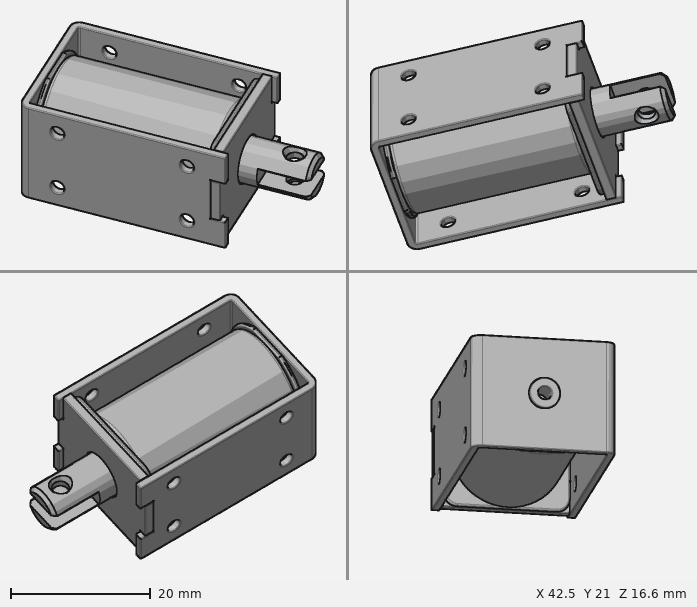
import cadquery as cq
EDGE_ROUNDING = 0.15
HEIGHT = 16.6
OVERALL_LENGTH = 42.5

FRAME_START = 0.5
FRAME_LENGTH = 31.95
FRAME_WIDTH = 21.0
FRAME_WALL = 1.2
BEND_RADIUS = 1.5
BEND_INNER_RADIUS = BEND_RADIUS - FRAME_WALL
FRAME_END = FRAME_START + FRAME_LENGTH
FRAME_INNER_START = FRAME_START + FRAME_WALL
FRAME_INNER_WIDTH = FRAME_WIDTH - 2 * FRAME_WALL
MOUNT_HOLE_DIAMETER = 2.12
MOUNT_HOLE_FIRST_X = 6.5
MOUNT_HOLE_SPACING_X = 20.0
MOUNT_HOLE_SPACING_Z = 10.0

PLATE_START = 30.18
PLATE_THICKNESS = 1.5
PLATE_END = PLATE_START + PLATE_THICKNESS
PLATE_HOLE_DIAMETER = 7.4
TAB_HEIGHT = 7.0

ROUND_FLANGE_THICKNESS = 0.72
SQUARE_FLANGE_THICKNESS = 0.8
FLANGE_ROUNDING = 0.3
BORE_DIAMETER = 7.3
TUBE_DIAMETER = 9.6
ROUND_FLANGE_DIAMETER = 17.6
ROUND_FLANGE_HEIGHT = 16.45
SQUARE_FLANGE_WIDTH = 18.4
SQUARE_FLANGE_HEIGHT = HEIGHT
SQUARE_FLANGE_CORNER = 1.95
COIL_START = FRAME_INNER_START + ROUND_FLANGE_THICKNESS
COIL_END = PLATE_START - SQUARE_FLANGE_THICKNESS

COIL_DIAMETER = 16.6
COIL_ROUNDING = 0.5

RIVET_DIAMETER = 4.5
CORE_HOLE_DIAMETER = 2.0
CORE_HOLE_DEPTH = 4.25
CORE_EDGE_ROUNDING = 0.1
CORE_END = 14.88

PLUNGER_DIAMETER = 7.0
FORK_START = 34.5
FORK_WIDTH = 6.35
FORK_GAP = 2.8
TIP_CHAMFER = 0.6
CROSS_HOLE_X = 38.97
CROSS_HOLE_DIAMETER = 2.5
COUNTERSINK_DIAMETER = 3.5
COUNTERSINK_DEPTH = 1.0


def box_between(x_start, x_end, width, height):
    """Box from x_start to x_end, centred on the axis in Y and Z."""
    return (
        cq.Workplane("YZ", origin=(x_start, 0, 0))
        .rect(width, height)
        .extrude(x_end - x_start)
    )


def rod_between(x_start, x_end, diameter):
    """Round bar on the axis from x_start to x_end."""
    return (
        cq.Workplane("YZ", origin=(x_start, 0, 0))
        .circle(diameter / 2)
        .extrude(x_end - x_start)
    )


def make_frame():
    outer = box_between(FRAME_START, FRAME_END, FRAME_WIDTH, HEIGHT)
    outer = outer.edges("|Z and <X").fillet(BEND_RADIUS)
    inner = box_between(FRAME_INNER_START, FRAME_END, FRAME_INNER_WIDTH, HEIGHT)
    inner = inner.edges("|Z and <X").fillet(BEND_INNER_RADIUS)
    frame = outer.cut(inner)
    tab_slot = box_between(PLATE_START, FRAME_END, FRAME_WIDTH, TAB_HEIGHT)
    frame = frame.cut(tab_slot)
    mount_holes = (
        cq.Workplane("XZ", origin=(MOUNT_HOLE_FIRST_X + MOUNT_HOLE_SPACING_X / 2, 0, 0))
        .rarray(MOUNT_HOLE_SPACING_X, MOUNT_HOLE_SPACING_Z, 2, 2)
        .circle(MOUNT_HOLE_DIAMETER / 2)
        .extrude(FRAME_WIDTH / 2, both=True)
    )
    frame = frame.cut(mount_holes)
    frame = frame.faces("|Y or <Z or >Z").edges("not(|Z and (<X or <<X[1]))").fillet(EDGE_ROUNDING)
    return frame.cut(rod_between(FRAME_START, FRAME_INNER_START, RIVET_DIAMETER))


def make_end_plate():
    plate = box_between(PLATE_START, PLATE_END, FRAME_INNER_WIDTH, HEIGHT)
    tabs = box_between(PLATE_START, PLATE_END, FRAME_WIDTH, TAB_HEIGHT)
    plate = plate.union(tabs)
    plate = plate.faces("<X or >X or <Y or >Y").edges().fillet(EDGE_ROUNDING)
    return plate.cut(rod_between(PLATE_START, PLATE_END, PLATE_HOLE_DIAMETER))


def make_bobbin():
    round_flange = rod_between(FRAME_INNER_START, COIL_START, ROUND_FLANGE_DIAMETER)
    flats = box_between(FRAME_INNER_START, COIL_START, ROUND_FLANGE_DIAMETER, ROUND_FLANGE_HEIGHT)
    round_flange = round_flange.intersect(flats)
    round_flange = round_flange.faces("<X or >X").edges().fillet(FLANGE_ROUNDING)
    square_flange = box_between(COIL_END, PLATE_START, SQUARE_FLANGE_WIDTH, SQUARE_FLANGE_HEIGHT)
    square_flange = square_flange.edges("|X").fillet(SQUARE_FLANGE_CORNER)
    square_flange = square_flange.faces("<X or >X").edges().fillet(FLANGE_ROUNDING)
    tube = rod_between(COIL_START, COIL_END, TUBE_DIAMETER)
    bobbin = tube.union(round_flange).union(square_flange)
    return bobbin.cut(rod_between(FRAME_INNER_START, PLATE_START, BORE_DIAMETER))


def make_coil():
    coil = rod_between(COIL_START, COIL_END, COIL_DIAMETER)
    coil = coil.faces("<X or >X").edges().fillet(COIL_ROUNDING)
    return coil.cut(rod_between(COIL_START, COIL_END, TUBE_DIAMETER))


def make_core():
    rivet = rod_between(0, FRAME_INNER_START, RIVET_DIAMETER)
    core = rivet.union(rod_between(FRAME_INNER_START, CORE_END, BORE_DIAMETER))
    core = core.cut(rod_between(0, CORE_HOLE_DEPTH, CORE_HOLE_DIAMETER))
    return core.faces("<X").edges().fillet(CORE_EDGE_ROUNDING)


def make_plunger():
    rod = rod_between(CORE_END, FORK_START, PLUNGER_DIAMETER)
    fork = rod_between(FORK_START, OVERALL_LENGTH, PLUNGER_DIAMETER)
    fork = fork.faces(">X").edges().chamfer(TIP_CHAMFER)
    flats = box_between(FORK_START, OVERALL_LENGTH, FORK_WIDTH, PLUNGER_DIAMETER)
    flats = flats.edges("|Z and >X").chamfer(TIP_CHAMFER)
    gap = box_between(FORK_START, OVERALL_LENGTH, PLUNGER_DIAMETER, FORK_GAP)
    fork = fork.intersect(flats).cut(gap).cut(make_cross_hole())
    return rod.union(fork)


def make_cross_hole():
    """Drilled hole along Z through the fork, with a steep countersink at both ends."""
    hole_radius = CROSS_HOLE_DIAMETER / 2
    rod_radius = PLUNGER_DIAMETER / 2
    profile = (
        cq.Workplane("XZ", origin=(CROSS_HOLE_X, 0, 0))
        .lineTo(hole_radius, 0)
        .lineTo(hole_radius, rod_radius - COUNTERSINK_DEPTH)
        .lineTo(COUNTERSINK_DIAMETER / 2, rod_radius)
        .lineTo(0, rod_radius)
        .close()
    )
    upper_half = profile.revolve(360, (0, 0, 0), (0, 1, 0))
    return upper_half.union(upper_half.mirror("XY"))


frame = make_frame()
end_plate = make_end_plate()
bobbin = make_bobbin()
coil = make_coil()
core = make_core()
plunger = make_plunger()

result = cq.Compound.makeCompound(
    [body.val() for body in (frame, end_plate, bobbin, coil, core, plunger)]
)